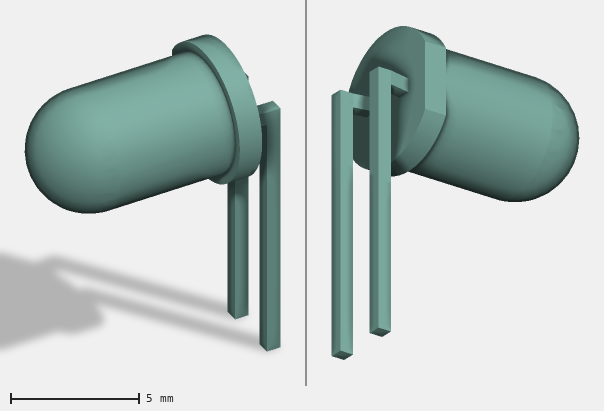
import cadquery as cq

body_radius = 2.5
body_length = 5.12

flange_diameter = 5.8
flange_radius = flange_diameter / 2
flange_thickness = 1.0
flat_offset = body_radius

total_height = 13.9
lead_width = 0.6
lead_reach = 1.55
lead_spacing = 2.53
lead_splay = 0.18
lead_top = lead_width / 2
lead_bottom = flange_radius - total_height


def make_flange():
    disc = cq.Workplane("XZ").circle(flange_radius).extrude(flange_thickness)
    keep_width = flat_offset + flange_radius
    keep = (
        cq.Workplane("XZ")
        .center(keep_width / 2 - flat_offset, 0)
        .rect(keep_width, flange_diameter)
        .extrude(flange_thickness)
    )
    return disc.intersect(keep)


def make_lens():
    dome_base = -flange_thickness - body_length
    body = (
        cq.Workplane("XZ", origin=(0, -flange_thickness, 0))
        .circle(body_radius)
        .extrude(body_length)
    )
    dome = cq.Workplane("XY").sphere(body_radius).translate((0, dome_base, 0))
    return body.union(dome)


def make_lead(side):
    """Lead on the +X (side = 1) or -X (side = -1) side."""
    outer_x = lead_spacing / 2 + lead_width / 2
    inner_x = outer_x - lead_width
    bend_y = lead_reach - lead_width
    splayed_outline = [
        (side * (inner_x - lead_splay), 0),
        (side * (outer_x - lead_splay), 0),
        (side * outer_x, bend_y),
        (side * outer_x, lead_reach),
        (side * inner_x, lead_reach),
        (side * inner_x, bend_y),
    ]
    arm = (
        cq.Workplane("XY", origin=(0, 0, -lead_top))
        .polyline(splayed_outline)
        .close()
        .extrude(lead_width)
    )
    leg = (
        cq.Workplane("XY", origin=(0, 0, lead_bottom))
        .center(side * lead_spacing / 2, bend_y + lead_width / 2)
        .rect(lead_width, lead_width)
        .extrude(lead_top - lead_bottom)
    )
    return arm.union(leg)


result = make_flange().union(make_lens())
for lead_side in (-1, 1):
    result = result.union(make_lead(lead_side))